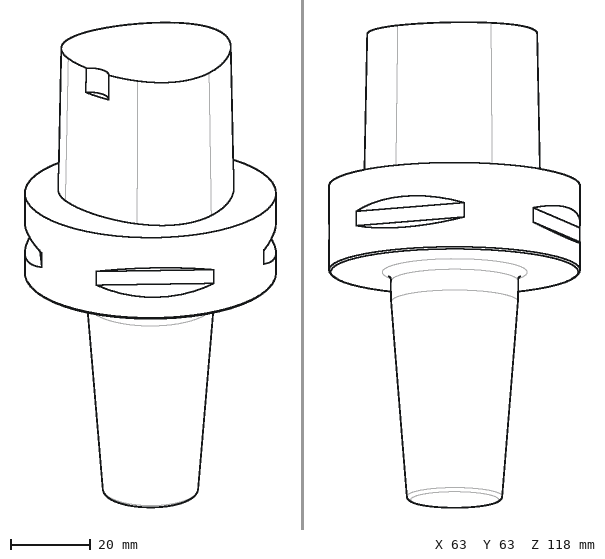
import cadquery as cq
import math

total_height = 118.0
shank_height = 38.0
flange_height = 22.0
flange_top = total_height - shank_height
flange_bottom = flange_top - flange_height
neck_height = 7.5
neck_bottom = flange_bottom - neck_height

flange_radius = 63.0 / 2
flange_chamfer = 0.5
neck_radius = 31.9 / 2
neck_fillet = 2.2
nose_end_radius = 11.9
nose_end_fillet = 1.0

shank_mean_radius = 22.0
shank_taper = 0.02
lobe_offset = 1.4
segment_count = 6
points_per_segment = 7

notch_radius = 10.0 / 2
notch_height = 6.5
notch_floor_distance = 17.8

groove_count = 4
groove_center_z = 68.0
groove_floor_distance = 27.8
groove_floor_height = 3.7
groove_wall_angle = 30.0


def lobed_point(mean_radius, angle, z):
    """Point on a trochoid with three lobes, one of them toward +Y."""
    x = -mean_radius * math.sin(angle) + lobe_offset * math.sin(2 * angle)
    y = mean_radius * math.cos(angle) + lobe_offset * math.cos(2 * angle)
    return cq.Vector(x, y, z)


def lobed_tangent(mean_radius, angle):
    """Direction of travel along the trochoid."""
    dx = -mean_radius * math.cos(angle) + 2 * lobe_offset * math.cos(2 * angle)
    dy = -mean_radius * math.sin(angle) - 2 * lobe_offset * math.sin(2 * angle)
    return cq.Vector(dx, dy, 0).normalized()


def lobed_wire(mean_radius, z):
    """Closed outline of alternating lobes and flanks that meet tangentially."""
    span = 2 * math.pi / segment_count
    edges = []
    for segment in range(segment_count):
        start = (segment - 0.5) * span
        angles = [start + span * i / (points_per_segment - 1) for i in range(points_per_segment)]
        points = [lobed_point(mean_radius, angle, z) for angle in angles]
        tangents = [lobed_tangent(mean_radius, angle) for angle in (angles[0], angles[-1])]
        edges.append(cq.Edge.makeSpline(points, tangents=tangents))
    return cq.Wire.assembleEdges(edges)


def make_shank():
    top_radius = shank_mean_radius - shank_taper * shank_height
    bottom = lobed_wire(shank_mean_radius, flange_top)
    top = lobed_wire(top_radius, total_height)
    return cq.Workplane(cq.Solid.makeLoft([bottom, top], True))


def make_round_body():
    """Nose, neck and flange turned about the Z axis."""
    profile = (
        cq.Workplane("XZ")
        .lineTo(nose_end_radius, 0)
        .lineTo(neck_radius, neck_bottom)
        .lineTo(neck_radius, flange_bottom)
        .lineTo(flange_radius, flange_bottom)
        .lineTo(flange_radius, flange_top)
        .lineTo(0, flange_top)
        .close()
    )
    body = profile.revolve(360, (0, 0, 0), (0, 1, 0))
    body = body.faces("<Z").edges().fillet(nose_end_fillet)
    flange_under_edges = body.edges(cq.selectors.RadiusNthSelector(-1)).edges("<Z")
    body = flange_under_edges.chamfer(flange_chamfer)
    root = cq.selectors.NearestToPointSelector((0, 0, flange_bottom))
    neck_edges = body.edges("%CIRCLE").edges(root)
    return neck_edges.fillet(neck_fillet)


def make_key_notch():
    return (
        cq.Workplane("XY", origin=(0, -notch_floor_distance - notch_radius, total_height - notch_height))
        .circle(notch_radius)
        .extrude(notch_height)
    )


def make_groove(angle):
    """Straight groove with a flat floor and flared walls, facing the given angle."""
    half_floor = groove_floor_height / 2
    depth = flange_radius - groove_floor_distance
    half_mouth = half_floor + depth * math.tan(math.radians(groove_wall_angle))
    return (
        cq.Workplane("XZ")
        .moveTo(groove_floor_distance, groove_center_z - half_floor)
        .lineTo(flange_radius, groove_center_z - half_mouth)
        .lineTo(flange_radius, groove_center_z + half_mouth)
        .lineTo(groove_floor_distance, groove_center_z + half_floor)
        .close()
        .extrude(flange_radius, both=True)
        .rotate((0, 0, 0), (0, 0, 1), angle)
    )


result = make_round_body().union(make_shank()).cut(make_key_notch())
groove_pitch = 360 / groove_count
for index in range(groove_count):
    result = result.cut(make_groove((index + 0.5) * groove_pitch))